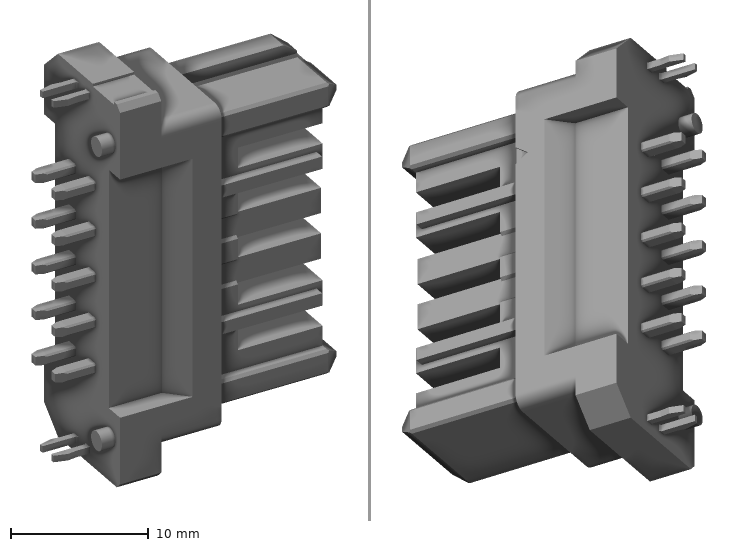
import cadquery as cq


LENGTH = 32.0
WIDTH = 11.0
FLANGE_DEPTH = 3.45
BODY_LENGTH = 26.87
BODY_DEPTH = 8.5
BODY_CORNER_RADIUS = 1.0
FLANGE_CHAMFER_X = 2.0
FLANGE_CHAMFER_Z = 1.92
FLANGE_SMALL_CHAMFER = 0.48
END_NOTCH_START = 1.57
END_NOTCH_END = 4.6
END_NOTCH_DEPTH = 0.22

RECESS_LENGTH = 19.9
RECESS_INSET = 1.63
RECESS_STRAIGHT_DEPTH = 4.45

MARK_LENGTH = 1.02
MARK_HALF_WIDTH = 0.7
MARK_DEPTH = 0.15

POSITIONS = 5
PITCH = 3.8
PIN_ROW_X = 1.45
PIN_WIDTH = 1.12
PIN_THICKNESS = 0.83
PIN_LENGTH = 3.23
PIN_TIP_LENGTH = 0.83
PIN_TIP_INSET = 0.3
PIN_TIP_THICKNESS_INSET = 0.05
PIN_EDGE_CHAMFER = 0.13

PLUG_DEPTH = 18.1
SLOT_WIDTH = 1.7
SLOT_FLOOR = 11.0
COMB_WIDTH = 7.05
FINGER_RELIEF = 0.22
RIB_WIDTH = 1.02
RIB_DEPTH = 17.6
BLOCK_WIDTH = 8.65
BLOCK_THICKNESS = 2.05
BLOCK_CENTER_Z = 11.13
BLOCK_EDGE_CHAMFER = 0.22
TIP_LENGTH = 1.15
TIP_INSET = 0.8
KEY_WIDTH = 2.0
KEY_CENTER_X = -1.15
KEY_DEPTH = 1.0

PEG_DIAMETER = 1.57
PEG_LENGTH = 1.12
PEG_X = 4.03
PEG_Z = 12.3

CLIP_Z = 14.8
CLIP_THICKNESS = 0.55
CLIP_REAR = 3.55
CLIP_INNER_ROOT = 0.5
CLIP_INNER_X = 0.65
CLIP_OUTER_X = 1.15
CLIP_BARB_X = 1.25
CLIP_TIP_X = 0.95
CLIP_BARB_START = 1.12
CLIP_BARB_PEAK = 1.9
CLIP_LENGTH = 2.95

contact_zs = [PITCH * (i - (POSITIONS - 1) / 2) for i in range(POSITIONS)]
middle_finger_zs = [-PITCH / 2, PITCH / 2]
rib_zs = [-1.5 * PITCH, 1.5 * PITCH]
finger_width = PITCH - SLOT_WIDTH


def box(x0, x1, y0, y1, z0, z1):
    """Box between opposite corners."""
    return cq.Workplane("XY").box(x1 - x0, y1 - y0, z1 - z0, centered=False).translate((x0, y0, z0))


def centered_box(width, y0, y1, height, x=0.0, z=0.0):
    """Box from y0 to y1, centred on (x, z)."""
    return box(x - width / 2, x + width / 2, y0, y1, z - height / 2, z + height / 2)


def prism_along_z(points, height, z=0.0):
    """Extrude an XY outline over the given height, centred on z."""
    return cq.Workplane("XY").workplane(offset=z - height / 2).polyline(points).close().extrude(height)


def prism_along_x(points, x0, x1):
    """Extrude a YZ outline from x0 to x1."""
    return cq.Workplane("YZ").workplane(offset=x0).polyline(points).close().extrude(x1 - x0)


def both_sides(shape):
    """Join a shape with its mirror image across the plane X = 0."""
    return shape.union(shape.mirror("YZ"))


def make_flange():
    flange = centered_box(WIDTH, 0, FLANGE_DEPTH, LENGTH)
    flange = flange.edges("|Y and >X").chamfer(FLANGE_SMALL_CHAMFER)
    half_width = WIDTH / 2
    half_length = LENGTH / 2
    for side in (-1, 1):
        corner = (
            cq.Workplane("XZ")
            .polyline([
                (-half_width, side * half_length),
                (-half_width + FLANGE_CHAMFER_X, side * half_length),
                (-half_width, side * (half_length - FLANGE_CHAMFER_Z)),
            ])
            .close()
            .extrude(-FLANGE_DEPTH)
        )
        flange = flange.cut(corner)
    notch = box(
        END_NOTCH_START, END_NOTCH_END, 0, FLANGE_DEPTH, half_length - END_NOTCH_DEPTH, half_length
    )
    return flange.cut(notch)


def make_housing():
    body = centered_box(WIDTH, 0, BODY_DEPTH, BODY_LENGTH).edges("|Y").fillet(BODY_CORNER_RADIUS)
    body = body.intersect(centered_box(WIDTH, FLANGE_DEPTH, BODY_DEPTH, BODY_LENGTH))
    housing = make_flange().union(body)

    outer = -WIDTH / 2
    recess = prism_along_z(
        [
            (outer, 0),
            (outer + RECESS_INSET, 0),
            (outer + RECESS_INSET, RECESS_STRAIGHT_DEPTH),
            (outer, RECESS_STRAIGHT_DEPTH + RECESS_INSET),
        ],
        RECESS_LENGTH,
    )
    first_z = contact_zs[-1]
    mark = prism_along_x(
        [
            (BODY_DEPTH, first_z - MARK_HALF_WIDTH),
            (BODY_DEPTH, first_z + MARK_HALF_WIDTH),
            (BODY_DEPTH - MARK_LENGTH, first_z),
        ],
        outer,
        outer + MARK_DEPTH,
    )
    return housing.cut(both_sides(recess)).cut(mark)


def make_finger_relief(z):
    """Shallow relief on the -X side of a middle finger, with sloped walls beside the webs."""
    outer = -COMB_WIDTH / 2
    floor = outer + FINGER_RELIEF
    half = finger_width / 2
    root = (
        cq.Workplane("XZ", origin=(0, BODY_DEPTH, 0))
        .polyline([
            (outer, z - half),
            (floor, z - half + FINGER_RELIEF),
            (floor, z + half - FINGER_RELIEF),
            (outer, z + half),
        ])
        .close()
        .extrude(BODY_DEPTH - SLOT_FLOOR)
    )
    return root.union(box(outer, floor, SLOT_FLOOR, PLUG_DEPTH, z - half, z + half))


def make_comb():
    comb = centered_box(COMB_WIDTH, BODY_DEPTH, PLUG_DEPTH, 2 * BLOCK_CENTER_Z)
    for z in contact_zs:
        comb = comb.cut(centered_box(COMB_WIDTH, SLOT_FLOOR, PLUG_DEPTH, SLOT_WIDTH, z=z))
    for z in middle_finger_zs:
        comb = comb.cut(both_sides(make_finger_relief(z)))
    for z in rib_zs:
        comb = comb.union(centered_box(BLOCK_WIDTH, BODY_DEPTH, RIB_DEPTH, RIB_WIDTH, z=z))
    return comb


def tapered_outline(half_size, y_root, y_shoulder, y_tip, inset):
    """(across, y) outline of a bar that is straight up to its shoulder, then narrows to its tip."""
    return [
        (-half_size, y_root),
        (half_size, y_root),
        (half_size, y_shoulder),
        (half_size - inset, y_tip),
        (inset - half_size, y_tip),
        (-half_size, y_shoulder),
    ]


def make_tapered_bar(x, z, width, thickness, edge_chamfer, y_root, y_shoulder, y_tip, inset_x, inset_z):
    """Bar along Y with chamfered long edges and a tip that narrows in X and in Z."""
    bar = centered_box(width, min(y_root, y_tip), max(y_root, y_tip), thickness, x=x, z=z)
    bar = bar.edges("|Y").chamfer(edge_chamfer)
    outline_x = tapered_outline(width / 2, y_root, y_shoulder, y_tip, inset_x)
    outline_z = tapered_outline(thickness / 2, y_root, y_shoulder, y_tip, inset_z)
    taper_x = prism_along_z([(x + across, y) for across, y in outline_x], thickness, z)
    taper_z = prism_along_x([(y, z + across) for across, y in outline_z], x - width / 2, x + width / 2)
    return bar.intersect(taper_x).intersect(taper_z)


def make_end_block(z):
    return make_tapered_bar(
        x=0,
        z=z,
        width=BLOCK_WIDTH,
        thickness=BLOCK_THICKNESS,
        edge_chamfer=BLOCK_EDGE_CHAMFER,
        y_root=BODY_DEPTH,
        y_shoulder=PLUG_DEPTH,
        y_tip=PLUG_DEPTH + TIP_LENGTH,
        inset_x=TIP_INSET,
        inset_z=TIP_INSET,
    )


def make_plug():
    upper_face_z = BLOCK_CENTER_Z + BLOCK_THICKNESS / 2
    key_groove = centered_box(
        KEY_WIDTH, BODY_DEPTH, PLUG_DEPTH + TIP_LENGTH, 2 * KEY_DEPTH, x=KEY_CENTER_X, z=upper_face_z
    )
    upper_block = make_end_block(BLOCK_CENTER_Z).cut(key_groove)
    lower_block = make_end_block(-BLOCK_CENTER_Z)
    return make_comb().union(upper_block).union(lower_block)


def make_pin(z):
    """Board pin of the -X row."""
    return make_tapered_bar(
        x=-PIN_ROW_X,
        z=z,
        width=PIN_WIDTH,
        thickness=PIN_THICKNESS,
        edge_chamfer=PIN_EDGE_CHAMFER,
        y_root=0,
        y_shoulder=PIN_TIP_LENGTH - PIN_LENGTH,
        y_tip=-PIN_LENGTH,
        inset_x=PIN_TIP_INSET,
        inset_z=PIN_TIP_THICKNESS_INSET,
    )


def make_clip(z):
    """Pair of barbed legs joined by a bar that passes through the flange."""
    leg = prism_along_z(
        [
            (-CLIP_INNER_ROOT, 0),
            (-CLIP_OUTER_X, 0),
            (-CLIP_OUTER_X, -CLIP_BARB_START),
            (-CLIP_BARB_X, -CLIP_BARB_PEAK),
            (-CLIP_TIP_X, -CLIP_LENGTH),
            (-CLIP_INNER_X, -CLIP_LENGTH),
            (-CLIP_INNER_X, -(CLIP_INNER_X - CLIP_INNER_ROOT)),
        ],
        CLIP_THICKNESS,
        z,
    )
    bar = centered_box(2 * CLIP_OUTER_X, 0, CLIP_REAR, CLIP_THICKNESS, z=z)
    return both_sides(leg).union(bar)


def make_peg(z):
    return cq.Workplane("XZ").center(PEG_X, z).circle(PEG_DIAMETER / 2).extrude(PEG_LENGTH)


result = make_housing().union(make_plug())
for contact_z in contact_zs:
    result = result.union(both_sides(make_pin(contact_z)))
for end in (-1, 1):
    result = result.union(make_clip(end * CLIP_Z))
    result = result.union(make_peg(end * PEG_Z))